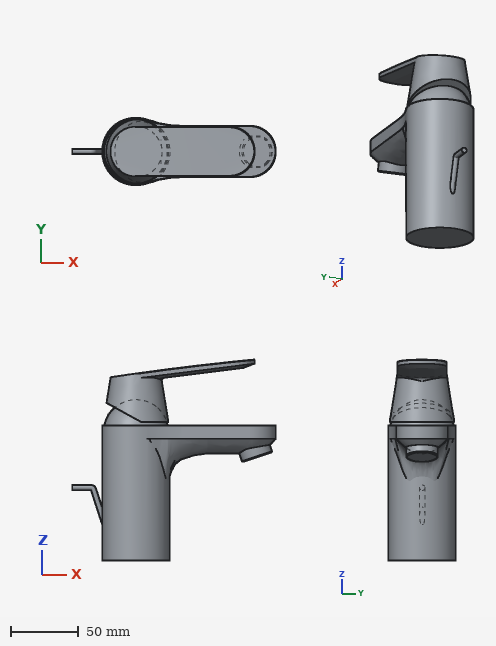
import cadquery as cq
import math

BODY_RADIUS = 25.0
BODY_HEIGHT = 100.0
RIM_CHAMFER = 0.5

SPOUT_HALF_WIDTH = 19.1
SPOUT_TIP_X = 103.4
DECK_THICKNESS = 10.0
DECK_BOTTOM = BODY_HEIGHT - DECK_THICKNESS
SPOUT_END_X = SPOUT_TIP_X - SPOUT_HALF_WIDTH
BLEND_RADIUS = 73.0
BLEND_CENTER_Y = SPOUT_HALF_WIDTH + BLEND_RADIUS
BLEND_CENTER_X = math.sqrt((BODY_RADIUS + BLEND_RADIUS) ** 2 - BLEND_CENTER_Y**2)
BLEND_START_X = BLEND_CENTER_X * BODY_RADIUS / (BODY_RADIUS + BLEND_RADIUS)
BLEND_START_Y = BLEND_CENTER_Y * BODY_RADIUS / (BODY_RADIUS + BLEND_RADIUS)

BELLY_DEPTH = 11.0
KEEL_LEVEL_X = 53.0
KEEL_ASYMPTOTE_X = 20.0
KEEL_STEEPNESS = 99.0
KEEL_STATION_XS = [23.0, 26.0, 30.0, 36.0, 44.0, KEEL_LEVEL_X]
NECK_ROOT_SECTIONS = [(8.5, 23.0, 65.0), (16.0, 21.1, 58.0)]

AERATOR_DIAMETER = 23.6
AERATOR_LENGTH = 9.0
AERATOR_TILT = 18.5
AERATOR_FACE_X = 89.6
AERATOR_FACE_Z = 76.3
AERATOR_CHAMFER = 0.8

DOME_RADIUS = 24.0
DOME_CENTER_Z = 95.0

ROD_DIAMETER = 4.0
ROD_BACK_X = -47.13
ROD_HEIGHT = 53.9
ROD_BEND_X = -33.4
ROD_BEND_RADIUS = 2.3
ROD_BEND_ANGLE = 72.0
ROD_END_X = -20.0

CAP_BOTTOM_Z = 102.1
CAP_BOTTOM_RADIUS = 24.1
LEVER_HALF_WIDTH = 18.3
LEVER_TIP_X = 87.8
LEVER_END_X = LEVER_TIP_X - LEVER_HALF_WIDTH
CAP_TOP_Z = 138.165
UNDERCUT_START_X = 4.3
UNDERCUT_ANGLE = 28.7
CAP_EDGE_CHAMFER = 0.4

LEVER_TOP_BACK = (-25.0, 134.45)
LEVER_TOP_MIDDLE = (29.0, 142.05)
LEVER_TOP_TIP = (LEVER_TIP_X, 148.54)
LEVER_RISE = LEVER_TOP_TIP[1] - LEVER_TOP_BACK[1]
LEVER_SLOPE = math.degrees(math.atan2(LEVER_RISE, LEVER_TOP_TIP[0] - LEVER_TOP_BACK[0]))
LEVER_RIM_THICKNESS = 3.1
LEVER_BELLY_DEPTH = 2.2
LEVER_BELLY_BEVEL = 9.0
LEVER_EDGE_CHAMFER = 0.5
LEVER_ROOT_FILLET = 2.0

CLEARANCE = 200.0


def deck_half_width(x):
    """Half the width of the spout deck at a place along X, beyond the start of the blend."""
    if x >= BLEND_CENTER_X:
        return SPOUT_HALF_WIDTH
    return BLEND_CENTER_Y - math.sqrt(BLEND_RADIUS**2 - (BLEND_CENTER_X - x) ** 2)


def keel_depth(x):
    """Depth of the belly below the deck, on the middle line of the spout."""
    rise = 1 / (x - KEEL_ASYMPTOTE_X) - 1 / (KEEL_LEVEL_X - KEEL_ASYMPTOTE_X)
    return BELLY_DEPTH + KEEL_STEEPNESS * rise


def make_deck():
    middle_x = (BLEND_START_X + BLEND_CENTER_X) / 2
    middle_y = deck_half_width(middle_x)
    return (
        cq.Workplane("XY", origin=(0, 0, DECK_BOTTOM))
        .moveTo(BLEND_START_X, BLEND_START_Y)
        .threePointArc((middle_x, middle_y), (BLEND_CENTER_X, SPOUT_HALF_WIDTH))
        .lineTo(SPOUT_END_X, SPOUT_HALF_WIDTH)
        .threePointArc((SPOUT_TIP_X, 0), (SPOUT_END_X, -SPOUT_HALF_WIDTH))
        .lineTo(BLEND_CENTER_X, -SPOUT_HALF_WIDTH)
        .threePointArc((middle_x, -middle_y), (BLEND_START_X, -BLEND_START_Y))
        .close()
        .extrude(DECK_THICKNESS)
    )


def belly_section(x, half_width, depth):
    """Closed wire across the spout: flat on top, a parabola below."""
    corners = [(x, -half_width, DECK_BOTTOM), (x, half_width, DECK_BOTTOM)]
    control = (x, 0, DECK_BOTTOM - 2 * depth)
    start, pull, end = (cq.Vector(*point) for point in (corners[0], control, corners[1]))
    parabola = cq.Edge.makeBezier([start, pull, end])
    return cq.Wire.assembleEdges([parabola, cq.Edge.makeLine(end, start)])


def make_neck():
    sections = [belly_section(*root) for root in NECK_ROOT_SECTIONS]
    for x in KEEL_STATION_XS:
        sections.append(belly_section(x, deck_half_width(x), keel_depth(x)))
    return cq.Workplane(cq.Solid.makeLoft(sections))


def make_level_belly():
    section = belly_section(KEEL_LEVEL_X, SPOUT_HALF_WIDTH, BELLY_DEPTH)
    length = cq.Vector(SPOUT_END_X - KEEL_LEVEL_X, 0, 0)
    return cq.Workplane(cq.Solid.extrudeLinear(section, [], length))


def make_tip_belly():
    """Round end of the belly: half of the parabola turned about the end of the spout."""
    half_width = SPOUT_HALF_WIDTH
    return (
        cq.Workplane("XZ", origin=(SPOUT_END_X, 0, DECK_BOTTOM))
        .moveTo(0, -BELLY_DEPTH)
        .bezier([(0, -BELLY_DEPTH), (half_width / 2, -BELLY_DEPTH), (half_width, 0)])
        .lineTo(0, 0)
        .close()
        .revolve(360, (0, 0, 0), (0, 1, 0))
    )


def make_aerator():
    return (
        cq.Workplane("XY")
        .circle(AERATOR_DIAMETER / 2)
        .extrude(AERATOR_LENGTH)
        .faces("<Z")
        .chamfer(AERATOR_CHAMFER)
        .rotate((0, 0, 0), (0, 1, 0), -AERATOR_TILT)
        .translate((AERATOR_FACE_X, 0, AERATOR_FACE_Z))
    )


def make_dome():
    return cq.Workplane("XY").sphere(DOME_RADIUS).translate((0, 0, DOME_CENTER_Z))


def make_rod():
    bend = math.radians(ROD_BEND_ANGLE)
    center_z = ROD_HEIGHT - ROD_BEND_RADIUS

    def on_bend(angle):
        return (
            ROD_BEND_X + ROD_BEND_RADIUS * math.sin(angle),
            center_z + ROD_BEND_RADIUS * math.cos(angle),
        )

    bend_end_x, bend_end_z = on_bend(bend)
    end_z = bend_end_z - (ROD_END_X - bend_end_x) * math.tan(bend)
    path = (
        cq.Workplane("XZ")
        .moveTo(ROD_BACK_X, ROD_HEIGHT)
        .lineTo(ROD_BEND_X, ROD_HEIGHT)
        .threePointArc(on_bend(bend / 2), (bend_end_x, bend_end_z))
        .lineTo(ROD_END_X, end_z)
    )
    return (
        cq.Workplane("YZ", origin=(ROD_BACK_X, 0, ROD_HEIGHT))
        .circle(ROD_DIAMETER / 2)
        .sweep(path)
    )


def make_housing():
    body = cq.Workplane("XY").circle(BODY_RADIUS).extrude(BODY_HEIGHT)
    housing = body.union(make_deck()).faces(">Z").chamfer(RIM_CHAMFER)
    for part in (
        make_neck(),
        make_level_belly(),
        make_tip_belly(),
        make_aerator(),
        make_dome(),
        make_rod(),
    ):
        housing = housing.union(part)
    return housing


def make_cap():
    """Cone below the lever, with its back half cut away obliquely underneath."""
    cap_height = CAP_TOP_Z - CAP_BOTTOM_Z
    cap = (
        cq.Workplane("XZ", origin=(0, 0, CAP_BOTTOM_Z))
        .lineTo(CAP_BOTTOM_RADIUS, 0)
        .lineTo(LEVER_HALF_WIDTH, cap_height)
        .lineTo(0, cap_height)
        .close()
        .revolve(360, (0, 0, 0), (0, 1, 0))
    )
    undercut_height = CLEARANCE * math.tan(math.radians(UNDERCUT_ANGLE))
    undercut = (
        cq.Workplane("XZ", origin=(UNDERCUT_START_X, 0, CAP_BOTTOM_Z))
        .lineTo(-CLEARANCE, undercut_height)
        .lineTo(-CLEARANCE, 0)
        .close()
        .extrude(CLEARANCE, both=True)
    )
    return cap.cut(undercut).faces("<Z").chamfer(CAP_EDGE_CHAMFER)


def make_space_above_crown():
    """Block that lies on the crowned top, from behind the cap to the lever tip."""
    return (
        cq.Workplane("XZ")
        .moveTo(*LEVER_TOP_BACK)
        .threePointArc(LEVER_TOP_MIDDLE, LEVER_TOP_TIP)
        .lineTo(LEVER_TOP_TIP[0], CLEARANCE)
        .lineTo(LEVER_TOP_BACK[0], CLEARANCE)
        .close()
        .extrude(CLEARANCE, both=True)
    )


def make_lever_slab():
    """Slab from the cap axis to the round tip, crowned on top and sloping underneath."""
    side = (
        cq.Workplane("XZ")
        .moveTo(*LEVER_TOP_BACK)
        .threePointArc(LEVER_TOP_MIDDLE, LEVER_TOP_TIP)
        .lineTo(LEVER_TOP_TIP[0], LEVER_TOP_TIP[1] - LEVER_RIM_THICKNESS)
        .lineTo(LEVER_TOP_BACK[0], LEVER_TOP_BACK[1] - LEVER_RIM_THICKNESS)
        .close()
        .extrude(CLEARANCE, both=True)
    )
    slab = (
        cq.Workplane("XY")
        .moveTo(0, -LEVER_HALF_WIDTH)
        .lineTo(LEVER_END_X, -LEVER_HALF_WIDTH)
        .threePointArc((LEVER_TIP_X, 0), (LEVER_END_X, LEVER_HALF_WIDTH))
        .lineTo(0, LEVER_HALF_WIDTH)
        .close()
        .extrude(CLEARANCE)
        .intersect(side)
    )
    above_slab = cq.selectors.NearestToPointSelector((LEVER_END_X / 2, 0, CLEARANCE))
    crown = slab.faces(above_slab)
    return crown.edges("not <X").chamfer(LEVER_EDGE_CHAMFER)


def make_lever_belly():
    """Bevelled bulge under the slab, sloping with it."""
    taper = math.degrees(math.atan2(LEVER_BELLY_BEVEL, LEVER_BELLY_DEPTH))
    width = 2 * LEVER_HALF_WIDTH
    return (
        cq.Workplane("XY")
        .center(LEVER_END_X / 2, 0)
        .slot2D(LEVER_END_X + width, width)
        .extrude(-LEVER_BELLY_DEPTH, taper=taper)
        .translate((-LEVER_TIP_X, 0, 0))
        .rotate((0, 0, 0), (0, 1, 0), -LEVER_SLOPE)
        .translate((LEVER_TIP_X, 0, LEVER_TOP_TIP[1] - LEVER_RIM_THICKNESS))
    )


def make_handle():
    handle = make_cap().union(make_lever_slab()).union(make_lever_belly())
    handle = handle.cut(make_space_above_crown())
    root_zone = cq.selectors.BoxSelector(
        (LEVER_HALF_WIDTH / 2, -LEVER_HALF_WIDTH / 2, CAP_BOTTOM_Z),
        (CAP_BOTTOM_RADIUS, LEVER_HALF_WIDTH / 2, CAP_TOP_Z),
    )
    handle = handle.edges("%ELLIPSE").edges(root_zone).fillet(LEVER_ROOT_FILLET)
    return handle.cut(make_dome())


housing = make_housing()
handle = make_handle()

result = cq.Compound.makeCompound([housing.solids().val(), handle.solids().val()])